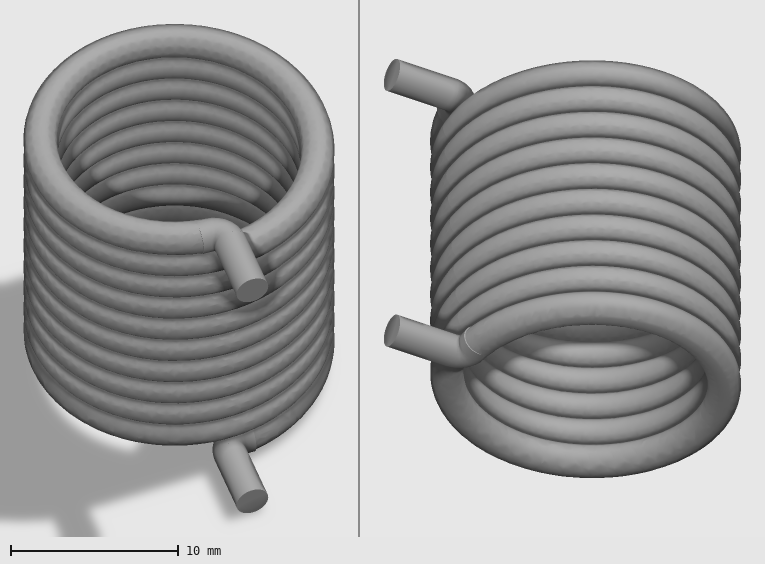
import cadquery as cq
import math

wire_diameter = 2.0
leg_spacing = 19.0
turn_count = 10
elbow_offset = 8.2
tail_length = 0.65
leg_length = 4.0

wire_radius = wire_diameter / 2
bend_radius = wire_radius
coil_radius = math.hypot(elbow_offset, bend_radius)
end_angle = math.degrees(math.atan2(bend_radius, elbow_offset))
swept_angle = 360 * turn_count - 2 * end_angle
pitch = leg_spacing * 360 / swept_angle
turn_sweep = swept_angle / turn_count
turn_rise = leg_spacing / turn_count
bottom_z = -leg_spacing / 2


def make_turn():
    """One piece of the coil, starting on the +X axis at Z = 0."""
    path = cq.Wire.makeHelix(pitch, turn_rise, coil_radius)
    lead = pitch / (2 * math.pi)
    start_plane = cq.Plane(origin=(coil_radius, 0, 0), xDir=(1, 0, 0), normal=(0, coil_radius, lead))
    return cq.Workplane(start_plane).circle(wire_radius).sweep(path, isFrenet=True)


def make_coil(elbows):
    """Close-wound coil whose neighbouring turns merge, with room left for the elbows."""
    turn = make_turn()
    turns = []
    for index in range(turn_count):
        angle = end_angle + index * turn_sweep
        height = bottom_z + index * turn_rise
        turns.append(turn.rotate((0, 0, 0), (0, 0, 1), angle).translate((0, 0, height)))
    coil = turns[0]
    for next_turn in turns[1:]:
        coil = coil.union(next_turn)
    for elbow in elbows:
        coil = coil.cut(elbow)
    return coil


def make_elbow(side, height):
    """Quarter bend from the coil end (on the +Y or -Y side) to the leg, with its straight tail."""
    joint_plane = cq.Plane.XZ(origin=(elbow_offset, side * bend_radius, height))
    section = (
        cq.Workplane(joint_plane)
        .moveTo(wire_radius, 0)
        .threePointArc((0, wire_radius), (-wire_radius, 0))
        .threePointArc((0, -wire_radius), (wire_radius, 0))
        .close()
    )
    bend = section.revolve(90, (bend_radius, 0), (bend_radius, side))
    tail = cq.Workplane(joint_plane).circle(wire_radius).extrude(-side * tail_length)
    return bend.union(tail)


def make_leg(height):
    """Straight leg pointing along +X from the elbow."""
    return (
        cq.Workplane("YZ", origin=(elbow_offset + bend_radius, 0, height))
        .circle(wire_radius)
        .extrude(leg_length)
    )


coil_ends = [(1, bottom_z), (-1, bottom_z + leg_spacing)]
elbows = [make_elbow(side, height) for side, height in coil_ends]
legs = [make_leg(height) for _, height in coil_ends]
coil = make_coil(elbows)

bodies = [coil, *elbows, *legs]
result = cq.Compound.makeCompound([body.solids().val() for body in bodies])